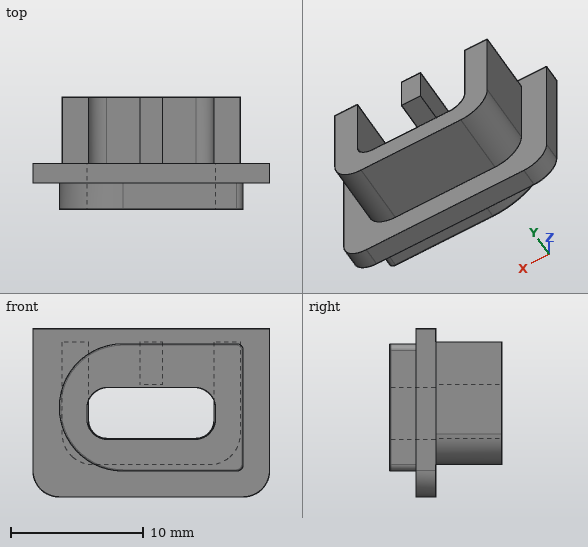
import cadquery as cq

plate_width = 17.9
plate_height = 12.72
plate_thickness = 1.5
plate_corner_radius = 2.0

boss_width = 13.9
boss_height = 9.62
boss_depth = 2.0
boss_top_gap = 1.14
boss_corner_radius = 0.5
boss_edge_radius = 0.1
boss_top = plate_height - boss_top_gap
boss_center_z = boss_top - boss_height / 2

shell_width = 13.46
shell_height = 9.28
shell_depth = 5.0
shell_top_gap = 1.0
shell_wall = 2.0
shell_outer_radius = 2.33
shell_inner_radius = 1.35
shell_top = plate_height - shell_top_gap
shell_bottom = shell_top - shell_height

post_width = 1.68
post_height = 3.2

window_width = 9.74
window_height = 3.93
window_corner_radius = 1.6
window_bottom_drop = 0.1
window_bottom = shell_bottom + shell_wall - window_bottom_drop


def block(width, bottom, top, front, back):
    """Box centred on X, spanning the given Z and Y limits."""
    return cq.Workplane("XY").box(
        width, back - front, top - bottom, centered=(True, False, False)
    ).translate((0, front, bottom))


def make_plate():
    plate = block(plate_width, 0, plate_height, 0, plate_thickness)
    return plate.edges("|Y and <Z").fillet(plate_corner_radius)


def make_boss():
    """Boss with a half-round left end, small right corners and a rounded front rim."""
    end_radius = boss_height / 2
    left = -boss_width / 2
    right = boss_width / 2
    boss = (
        cq.Workplane("XZ")
        .moveTo(left + end_radius, boss_top)
        .lineTo(right, boss_top)
        .lineTo(right, boss_top - boss_height)
        .lineTo(left + end_radius, boss_top - boss_height)
        .threePointArc((left, boss_center_z), (left + end_radius, boss_top))
        .close()
        .extrude(boss_depth)
    )
    boss = boss.edges("|Y and >X").fillet(boss_corner_radius)
    return boss.faces("<Y").fillet(boss_edge_radius)


def make_shell():
    """U-shaped wall, open at the top and at the back."""
    back = plate_thickness + shell_depth
    shell = block(shell_width, shell_bottom, shell_top, plate_thickness, back)
    shell = shell.edges("|Y and <Z").fillet(shell_outer_radius)
    cavity_width = shell_width - 2 * shell_wall
    cavity = block(cavity_width, shell_bottom + shell_wall, shell_top, plate_thickness, back)
    cavity = cavity.edges("|Y and <Z").fillet(shell_inner_radius)
    return shell.cut(cavity)


def make_post():
    back = plate_thickness + shell_depth
    return block(post_width, shell_top - post_height, shell_top, plate_thickness, back)


def make_window():
    top = window_bottom + window_height
    window = block(window_width, window_bottom, top, -boss_depth, plate_thickness)
    return window.edges("|Y").fillet(window_corner_radius)


front = make_plate().union(make_boss()).cut(make_window())
result = front.union(make_shell()).union(make_post())